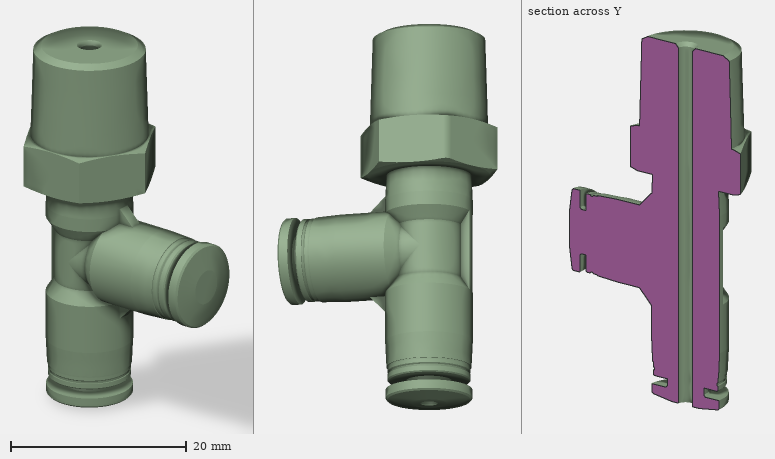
import cadquery as cq
import math


BODY_RADIUS = 10.0 / 2
WAIST_RADIUS = 4.0
TRUNK_WAIST_TOP = 2.95
TRUNK_WAIST_BOTTOM = -3.2
BRANCH_WAIST_END = 2.45
WAIST_CONE_LENGTH = 1.55
COLLAR_BOTTOM = 6.05
COLLAR_TOP_RADIUS = 4.85

TRUNK_END = 17.7
BRANCH_END = 17.0
TRUNK_CAP_END = 15.1
BRANCH_CAP_END = 14.55
TAPER_START = 4.65
TAPER_END = 1.65
GROOVE_START = 0.95
GROOVE_END = 0.7
FLANGE_START = 1.6
FLANGE_EDGE = 0.6
DOME_START = 0.4
TAPER_END_RADIUS = 4.85
CAP_RADIUS = 9.5 / 2
CAP_CHAMFER = 0.15
GROOVE_RADIUS = CAP_RADIUS - CAP_CHAMFER
NECK_RADIUS = 5.4 / 2
NECK_CHAMFER = 0.2
FLANGE_RADIUS = 9.9 / 2
DOME_RADIUS = 4.75
END_FACE_RADIUS = 4.0 / 2

HEX_BOTTOM = 9.0
HEX_HEIGHT = 5.5
HEX_ACROSS_FLATS = 14.0
HEX_CHAMFER_ANGLE = 15.0
HEX_CORNER_ROUND = 1.0

THREAD_LENGTH = 11.0
THREAD_BASE_RADIUS = 6.75
THREAD_TAPER = 1 / 16
THREAD_CHAMFER_HEIGHT = 0.5
THREAD_CHAMFER_WIDTH = 0.9

BORE_RADIUS = 1.0
COUNTERSINK_RADIUS = 1.45
WEB_THICKNESS = 1.4
GUSSET_REACH = 6.75

HEX_TOP = HEX_BOTTOM + HEX_HEIGHT
THREAD_TOP = HEX_TOP + THREAD_LENGTH
HEX_CORNER_RADIUS = HEX_ACROSS_FLATS / 2 / math.cos(math.radians(30))
TRUNK_BODY_TOP = TRUNK_WAIST_TOP + WAIST_CONE_LENGTH
TRUNK_BODY_BOTTOM = TRUNK_WAIST_BOTTOM - WAIST_CONE_LENGTH


def revolve_profile(points):
    """Turn (radius, height) points about the Z axis."""
    return cq.Workplane("XZ").polyline(points).close().revolve(360, (0, 0, 0), (0, 1, 0))


def push_in_profile(cap_end, end):
    """Points of a push-in end: tapered body, grooved cap and release button."""
    return [
        (BODY_RADIUS, cap_end - TAPER_START),
        (TAPER_END_RADIUS, cap_end - TAPER_END),
        (CAP_RADIUS, cap_end - TAPER_END),
        (CAP_RADIUS, cap_end - GROOVE_START - CAP_CHAMFER),
        (GROOVE_RADIUS, cap_end - GROOVE_START),
        (GROOVE_RADIUS, cap_end - GROOVE_END),
        (CAP_RADIUS, cap_end - GROOVE_END),
        (CAP_RADIUS, cap_end - CAP_CHAMFER),
        (CAP_RADIUS - CAP_CHAMFER, cap_end),
        (NECK_RADIUS, cap_end),
        (NECK_RADIUS, end - FLANGE_START - NECK_CHAMFER),
        (NECK_RADIUS + NECK_CHAMFER, end - FLANGE_START),
        (FLANGE_RADIUS, end - FLANGE_START),
        (FLANGE_RADIUS, end - FLANGE_EDGE),
        (DOME_RADIUS, end - DOME_START),
        (END_FACE_RADIUS, end),
        (0, end),
    ]


def make_trunk():
    """Collar, waist and downward push-in end."""
    trunk_points = push_in_profile(TRUNK_CAP_END, TRUNK_END)
    push_in_end = [(radius, -distance) for radius, distance in trunk_points]
    return revolve_profile([
        (0, HEX_BOTTOM),
        (COLLAR_TOP_RADIUS, HEX_BOTTOM),
        (BODY_RADIUS, COLLAR_BOTTOM),
        (BODY_RADIUS, TRUNK_BODY_TOP),
        (WAIST_RADIUS, TRUNK_WAIST_TOP),
        (WAIST_RADIUS, TRUNK_WAIST_BOTTOM),
        (BODY_RADIUS, TRUNK_BODY_BOTTOM),
    ] + push_in_end)


def make_branch():
    """Sideways push-in end, turned along Z and then laid along +X."""
    upright = revolve_profile([
        (0, 0),
        (WAIST_RADIUS, 0),
        (WAIST_RADIUS, BRANCH_WAIST_END),
        (BODY_RADIUS, BRANCH_WAIST_END + WAIST_CONE_LENGTH),
    ] + push_in_profile(BRANCH_CAP_END, BRANCH_END))
    return upright.rotate((0, 0, 0), (0, 1, 0), 90)


def make_plate(outline):
    """Central plate of web thickness from (x, z) outline points."""
    return cq.Workplane("XZ").polyline(outline).close().extrude(WEB_THICKNESS / 2, both=True)


def make_rib():
    """Rib along the back of the waist, its outer face flush with the round body."""
    plate = make_plate([
        (0, TRUNK_BODY_BOTTOM),
        (-2 * BODY_RADIUS, TRUNK_BODY_BOTTOM),
        (-2 * BODY_RADIUS, TRUNK_BODY_TOP),
        (0, TRUNK_BODY_TOP),
    ])
    envelope = (
        cq.Workplane("XY", origin=(0, 0, TRUNK_BODY_BOTTOM))
        .circle(BODY_RADIUS)
        .extrude(TRUNK_BODY_TOP - TRUNK_BODY_BOTTOM)
    )
    return plate.intersect(envelope)


def make_gussets():
    """Bevelled gussets in the two corners between trunk and branch."""
    return make_plate([
        (0, -GUSSET_REACH),
        (BODY_RADIUS, -GUSSET_REACH),
        (GUSSET_REACH, -BODY_RADIUS),
        (GUSSET_REACH, BODY_RADIUS),
        (BODY_RADIUS, GUSSET_REACH),
        (0, GUSSET_REACH),
    ])


def make_hexagon():
    """Hexagon with chamfered ends and one rounded corner at -X, +Y."""
    prism = (
        cq.Workplane("XY", origin=(0, 0, HEX_BOTTOM))
        .polygon(6, 2 * HEX_CORNER_RADIUS)
        .extrude(HEX_HEIGHT)
    )
    flat_radius = HEX_ACROSS_FLATS / 2
    corner = (-HEX_CORNER_RADIUS / 2, flat_radius, HEX_BOTTOM + HEX_HEIGHT / 2)
    prism = prism.edges(cq.NearestToPointSelector(corner)).fillet(HEX_CORNER_ROUND)
    drop = (HEX_CORNER_RADIUS - flat_radius) * math.tan(math.radians(HEX_CHAMFER_ANGLE))
    envelope = revolve_profile([
        (0, HEX_BOTTOM),
        (flat_radius, HEX_BOTTOM),
        (HEX_CORNER_RADIUS, HEX_BOTTOM + drop),
        (HEX_CORNER_RADIUS, HEX_TOP - drop),
        (flat_radius, HEX_TOP),
        (0, HEX_TOP),
    ])
    return prism.intersect(envelope)


def make_thread():
    """Tapered thread blank with a chamfered top."""
    chamfer_start = THREAD_TOP - THREAD_CHAMFER_HEIGHT
    edge_radius = THREAD_BASE_RADIUS - (chamfer_start - HEX_TOP) * THREAD_TAPER / 2
    return revolve_profile([
        (0, HEX_TOP),
        (THREAD_BASE_RADIUS, HEX_TOP),
        (edge_radius, chamfer_start),
        (edge_radius - THREAD_CHAMFER_WIDTH, THREAD_TOP),
        (0, THREAD_TOP),
    ])


def make_bore():
    """Through bore with a 45 degree countersink at the thread end."""
    return revolve_profile([
        (0, -TRUNK_END),
        (BORE_RADIUS, -TRUNK_END),
        (BORE_RADIUS, THREAD_TOP - (COUNTERSINK_RADIUS - BORE_RADIUS)),
        (COUNTERSINK_RADIUS, THREAD_TOP),
        (0, THREAD_TOP),
    ])


tee = make_trunk().union(make_branch()).union(make_rib()).union(make_gussets())
fitting = tee.union(make_hexagon()).union(make_thread())
result = fitting.cut(make_bore())